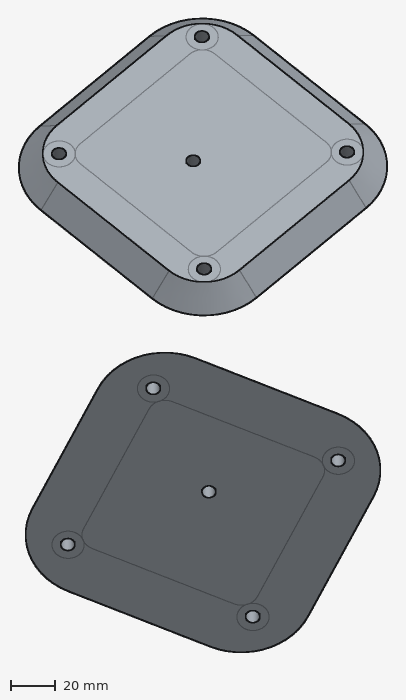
import cadquery as cq

base_side = 136.0
height = 10.7
base_corner_radius = 33.0
slope_angle = 45.0

panel_side = 85.7
panel_corner_radius = base_corner_radius - (base_side - panel_side) / 2

post_spacing = 91.1
post_diameter = 14.4
screw_hole_diameter = 6.4

panel_hole_diameter = 6.3
panel_hole_y = -6.3


def rounded_square(side, corner_radius):
    return cq.Sketch().rect(side, side).vertices().fillet(corner_radius)


def at_post_centres():
    return cq.Workplane("XY").rect(post_spacing, post_spacing, forConstruction=True).vertices()


def sloped_body():
    outline = rounded_square(base_side, base_corner_radius)
    return cq.Workplane("XY").placeSketch(outline).extrude(height, taper=slope_angle)


def central_panel():
    outline = rounded_square(panel_side, panel_corner_radius)
    return cq.Workplane("XY").placeSketch(outline).extrude(height)


posts = at_post_centres().circle(post_diameter / 2).extrude(height)
screw_holes = at_post_centres().circle(screw_hole_diameter / 2).extrude(height)
panel_hole = (
    cq.Workplane("XY")
    .center(0, panel_hole_y)
    .circle(panel_hole_diameter / 2)
    .extrude(height)
)

plate = sloped_body().union(central_panel(), clean=False).union(posts, clean=False)
result = plate.cut(screw_holes, clean=False).cut(panel_hole, clean=False)